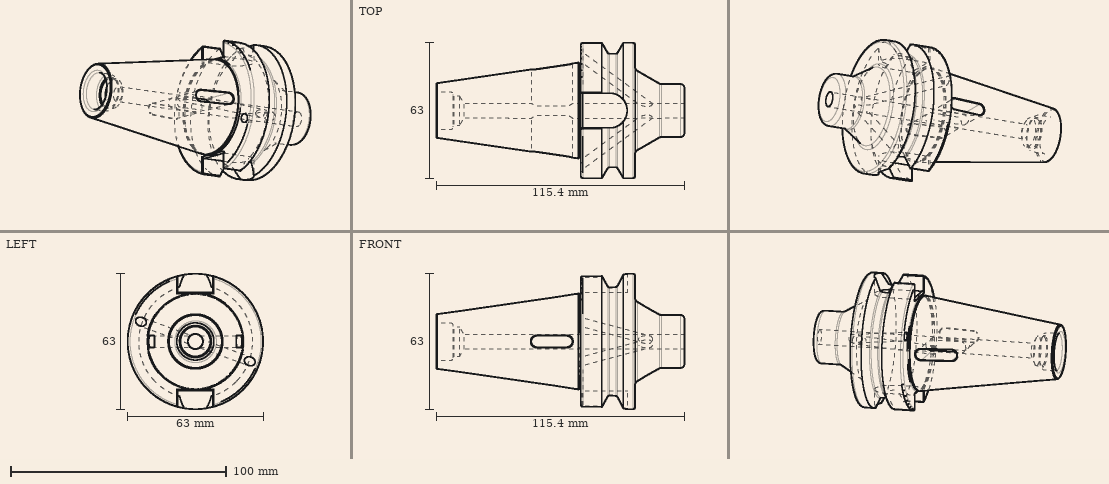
import cadquery as cq
import math

length = 115.4

taper_ratio = 7 / 48
taper_end_x = 66.0
taper_small_radius = 12.7
taper_large_radius = taper_small_radius + taper_ratio * taper_end_x
small_end_chamfer = 0.5

neck_radius = 21.9
neck_fillet = 0.6

flange_radius = 31.5
flange_start_x = 67.2
flange_end_x = 92.4
flange_edge_fillet = 1.0
groove_radius = 26.4
groove_bottom_start_x = 80.0
groove_bottom_end_x = 84.0
groove_wall_angle = math.radians(30)
groove_wall_run = (flange_radius - groove_radius) * math.tan(groove_wall_angle)
groove_start_x = groove_bottom_start_x - groove_wall_run
groove_end_x = groove_bottom_end_x + groove_wall_run
groove_corner_fillet = 0.8

nose_radius = 12.3
nose_start_x = 104.1
cone_angle = math.radians(30)
cone_large_radius = nose_radius + math.tan(cone_angle) * (nose_start_x - flange_end_x)
nose_fillet = 2.0

bore_radius = 8.7
bore_depth = 7.7
bore_corner_fillet = 0.9
mouth_fillet = 1.0
step_radius = 6.9
step_chamfer = 0.5
step_end_x = 10.7
through_radius = 3.5
drill_tip_half_angle = math.radians(59)
drill_tip_run = (step_radius - through_radius) / math.tan(drill_tip_half_angle)

key_half_width = 8.1
key_floor_z = 22.8
key_tip_x = 88.7
key_arc_x = key_tip_x - key_half_width
key_chamfer = 0.52
key_floor_chamfer_run = 1.0
key_floor_chamfer_drop = 0.7
key_wall_top_z = math.sqrt(flange_radius**2 - key_half_width**2)
key_clearance = 1.2

slot_start_x = 44.2
slot_end_x = 63.4
slot_width = 5.2
slot_edge_chamfer = 0.29

coolant_radius = 2.02
coolant_entry_radius = 26.9
coolant_azimuth = 20.0
coolant_tilt = math.radians(38)

selection_margin = 0.01
ring_band = 0.1


def disc_edges_at(x, radius):
    """Box selector for the circles at station x that are no larger than the given radius."""
    reach = radius + selection_margin
    return cq.selectors.BoxSelector(
        (x - selection_margin, -reach, -reach),
        (x + selection_margin, reach, reach),
        boundingbox=True,
    )


def ring_edge_at(x, radius):
    """Selector for only the circle of the given radius at station x."""
    return disc_edges_at(x, radius) - disc_edges_at(x, radius - ring_band)


def stepped_bore():
    outline = [
        (0, 0),
        (0, bore_radius),
        (bore_depth, bore_radius),
        (bore_depth, step_radius + step_chamfer),
        (bore_depth + step_chamfer, step_radius),
        (step_end_x, step_radius),
        (step_end_x + drill_tip_run, through_radius),
        (length, through_radius),
        (length, 0),
    ]
    bore = cq.Workplane("XY").polyline(outline).close().revolve(360, (0, 0, 0), (1, 0, 0))
    return bore.edges(ring_edge_at(bore_depth, bore_radius)).fillet(bore_corner_fillet)


def turned_body():
    outline = [
        (0, 0),
        (0, taper_small_radius),
        (taper_end_x, taper_large_radius),
        (taper_end_x, neck_radius),
        (flange_start_x, neck_radius),
        (flange_start_x, flange_radius),
        (groove_start_x, flange_radius),
        (groove_bottom_start_x, groove_radius),
        (groove_bottom_end_x, groove_radius),
        (groove_end_x, flange_radius),
        (flange_end_x, flange_radius),
        (flange_end_x, cone_large_radius),
        (nose_start_x, nose_radius),
        (length, nose_radius),
        (length, 0),
    ]
    body = cq.Workplane("XY").polyline(outline).close().revolve(360, (0, 0, 0), (1, 0, 0))

    body = body.edges(ring_edge_at(0, taper_small_radius)).chamfer(small_end_chamfer)
    body = body.cut(stepped_bore())
    body = body.edges(ring_edge_at(0, bore_radius)).fillet(mouth_fillet)

    fillets = [
        (flange_start_x, neck_radius, neck_fillet),
        (groove_bottom_start_x, groove_radius, groove_corner_fillet),
        (groove_bottom_end_x, groove_radius, groove_corner_fillet),
        (flange_end_x, cone_large_radius, nose_fillet),
        (nose_start_x, nose_radius, nose_fillet),
        (flange_start_x, flange_radius, flange_edge_fillet),
        (flange_end_x, flange_radius, flange_edge_fillet),
        (length, nose_radius, nose_fillet),
    ]
    for x, radius, fillet_radius in fillets:
        body = body.edges(ring_edge_at(x, radius)).fillet(fillet_radius)
    return body


def keyway():
    """Round-ended keyway above the axis, with its front and outer edges broken."""
    flare_half_width = key_half_width + key_chamfer
    open_x = flange_start_x - key_clearance
    top_z = flange_radius + key_clearance

    pocket = (
        cq.Workplane("XY", origin=(0, 0, key_floor_z))
        .moveTo(open_x, -flare_half_width)
        .lineTo(flange_start_x, -flare_half_width)
        .lineTo(flange_start_x + key_chamfer, -key_half_width)
        .lineTo(key_arc_x, -key_half_width)
        .threePointArc((key_tip_x, 0), (key_arc_x, key_half_width))
        .lineTo(flange_start_x + key_chamfer, key_half_width)
        .lineTo(flange_start_x, flare_half_width)
        .lineTo(open_x, flare_half_width)
        .close()
        .extrude(top_z - key_floor_z)
    )
    floor_chamfer = (
        cq.Workplane("XZ")
        .polyline([
            (flange_start_x, key_floor_z),
            (flange_start_x, key_floor_z - key_floor_chamfer_drop),
            (flange_start_x + key_floor_chamfer_run, key_floor_z),
        ])
        .close()
        .extrude(flare_half_width, both=True)
    )
    outer_chamfer_z = key_wall_top_z - key_chamfer
    flare_top_half_width = key_half_width + top_z - outer_chamfer_z
    outer_chamfer = (
        cq.Workplane("YZ", origin=(flange_start_x, 0, 0))
        .polyline([
            (-key_half_width, outer_chamfer_z),
            (key_half_width, outer_chamfer_z),
            (flare_top_half_width, top_z),
            (-flare_top_half_width, top_z),
        ])
        .close()
        .extrude(groove_start_x - flange_start_x)
    )
    return pocket.union(floor_chamfer).union(outer_chamfer)


def cross_slot():
    return (
        cq.Workplane("XZ")
        .center((slot_start_x + slot_end_x) / 2, 0)
        .slot2D(slot_end_x - slot_start_x, slot_width)
        .extrude(flange_radius, both=True)
    )


def coolant_passage():
    """Passage in the XY plane, sloping from the flange face down to the axis."""
    direction = cq.Vector(math.cos(coolant_tilt), -math.sin(coolant_tilt), 0)
    entry = cq.Vector(flange_start_x, coolant_entry_radius, 0)
    lead_in = 2 * coolant_radius
    run_to_axis = coolant_entry_radius / math.sin(coolant_tilt)
    start = entry - direction * lead_in
    drill = cq.Solid.makeCylinder(coolant_radius, lead_in + run_to_axis, start, direction)
    return cq.Workplane(obj=drill)


def slot_rim(side):
    """Box selector around the slot rim on the +Y (side 1) or -Y (side -1) taper surface."""
    low_y, high_y = sorted((side * taper_small_radius, side * taper_large_radius))
    return cq.selectors.BoxSelector(
        (slot_start_x - slot_edge_chamfer, low_y, -slot_width),
        (slot_end_x + slot_edge_chamfer, high_y, slot_width),
        boundingbox=True,
    )


result = turned_body().cut(cross_slot())
result = result.edges(slot_rim(1) + slot_rim(-1)).chamfer(slot_edge_chamfer)
for half_turn in (0, 180):
    result = result.cut(keyway().rotate((0, 0, 0), (1, 0, 0), half_turn))
    passage_angle = coolant_azimuth + half_turn
    result = result.cut(coolant_passage().rotate((0, 0, 0), (1, 0, 0), passage_angle))